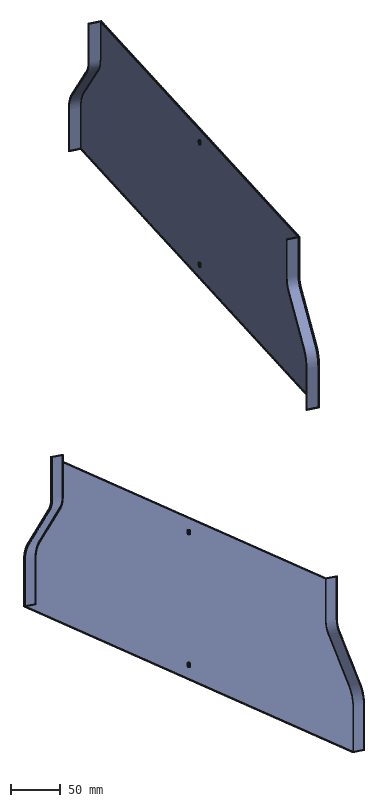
import cadquery as cq

length = 602.0
depth = 14.0
height = 170.0
thickness = 1.0

side_inset = 50.0
taper_bottom = 59.0
taper_top = 118.5
lower_bend_radius = 32.0
upper_bend_radius = 20.0

hole_diameter = 5.0
hole_edge_distance = 15.0

half_length = length / 2
top_half_length = half_length - side_inset


def side_path(side):
    """Points up one side of the panel; side is -1 for left, 1 for right."""
    return [
        (side * half_length, 0),
        (side * half_length, taper_bottom),
        (side * top_half_length, taper_top),
        (side * top_half_length, height),
    ]


def make_outline_block():
    """Full-depth block of the panel outline, from Y = 0 to Y = depth."""
    outline = side_path(-1) + side_path(1)[::-1]
    block = cq.Workplane("XZ").polyline(outline).close().extrude(-depth)
    for bend_height, radius in (
        (taper_bottom, lower_bend_radius),
        (taper_top, upper_bend_radius),
    ):
        bend_edges = cq.selectors.BoxSelector(
            (-length, -depth, bend_height - thickness),
            (length, 2 * depth, bend_height + thickness),
        )
        block = block.edges("|Y").edges(bend_edges).fillet(radius)
    return block


def hollow_between_flanges(block):
    """Leave the back sheet and the two side flanges, open at front, top and bottom."""
    return block.faces("<Y or <Z or >Z").shell(-thickness)


def drill_holes(panel):
    hole_heights = (hole_edge_distance, height - hole_edge_distance)
    holes = (
        cq.Workplane("XZ")
        .pushPoints([(0, z) for z in hole_heights])
        .circle(hole_diameter / 2)
        .extrude(-depth)
    )
    return panel.cut(holes)


result = drill_holes(hollow_between_flanges(make_outline_block()))